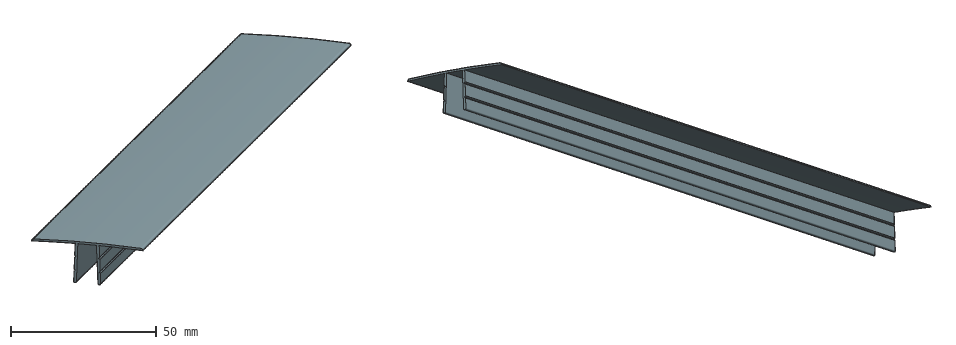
import cadquery as cq
import math

WIDTH = 40.0
LENGTH = 250.0
HEIGHT = 14.95

FLANGE_THICKNESS = 0.8
DOME_RADIUS = 380.0
EDGE_RADIUS = FLANGE_THICKNESS

LEG_THICKNESS = 1.0
LEG_LEAN = 2.2
TIP_CENTER_X = 4.36
GROOVE_HEIGHTS = (9.5, 4.5)
GROOVE_WIDTH = 0.8
GROOVE_DEPTH = 0.4

HALF_WIDTH = WIDTH / 2
DOME_CENTER_Z = HEIGHT - DOME_RADIUS


def arc_height(radius, x):
    """Height at x of a circle of the given radius about the dome centre."""
    return DOME_CENTER_Z + math.sqrt(radius**2 - x**2)


def extrude_along_length(profile):
    """Extrude an XZ profile symmetrically along Y."""
    return profile.extrude(LENGTH / 2, both=True)


def make_flange():
    round_x = HALF_WIDTH - EDGE_RADIUS
    round_z = arc_height(DOME_RADIUS - EDGE_RADIUS, round_x)
    dome_end_angle = math.asin(round_x / (DOME_RADIUS - EDGE_RADIUS))
    dome_end_x = DOME_RADIUS * math.sin(dome_end_angle)
    dome_end_z = arc_height(DOME_RADIUS, dome_end_x)
    mid_angle = (dome_end_angle + math.pi / 2) / 2
    round_mid_x = round_x + EDGE_RADIUS * math.sin(mid_angle)
    round_mid_z = round_z + EDGE_RADIUS * math.cos(mid_angle)

    profile = (
        cq.Workplane("XZ")
        .moveTo(-dome_end_x, dome_end_z)
        .threePointArc((0, HEIGHT), (dome_end_x, dome_end_z))
        .threePointArc((round_mid_x, round_mid_z), (HALF_WIDTH, round_z))
        .threePointArc((0, HEIGHT - FLANGE_THICKNESS), (-HALF_WIDTH, round_z))
        .threePointArc((-round_mid_x, round_mid_z), (-dome_end_x, dome_end_z))
        .close()
    )
    return extrude_along_length(profile)


def make_leg():
    """Leg on the +X side, reaching from its full-round tip at Z = 0 into the flange."""
    tip_radius = LEG_THICKNESS / 2
    lean = math.radians(LEG_LEAN)
    root_z = HEIGHT - FLANGE_THICKNESS / 2
    half_run = tip_radius / math.cos(lean)

    def center_x(z):
        return TIP_CENTER_X - (z - tip_radius) * math.tan(lean)

    def outer_point(z, depth=0):
        return (center_x(z) + half_run - depth, z)

    across_x = tip_radius * math.cos(lean)
    across_z = tip_radius * math.sin(lean)
    tip_inner = (TIP_CENTER_X - across_x, tip_radius - across_z)
    tip_outer = (TIP_CENTER_X + across_x, tip_radius + across_z)

    outline = (
        cq.Workplane("XZ")
        .moveTo(*tip_inner)
        .lineTo(center_x(root_z) - half_run, root_z)
        .lineTo(*outer_point(root_z))
    )
    for groove_z in GROOVE_HEIGHTS:
        outline = (
            outline.lineTo(*outer_point(groove_z + GROOVE_WIDTH / 2))
            .lineTo(*outer_point(groove_z, GROOVE_DEPTH))
            .lineTo(*outer_point(groove_z - GROOVE_WIDTH / 2))
        )
    outline = outline.lineTo(*tip_outer).threePointArc((TIP_CENTER_X, 0), tip_inner).close()
    return extrude_along_length(outline)


leg = make_leg()
result = make_flange().union(leg).union(leg.mirror("YZ"))